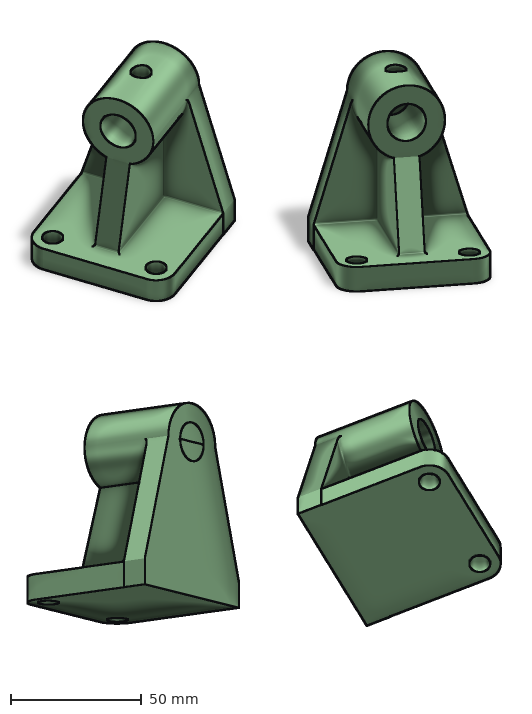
import cadquery as cq
import math

base_width = 60.0
base_depth = 60.0
base_height = 10.0
corner_radius = 8.0
mount_hole_diameter = 8.0
mount_hole_inset = corner_radius

total_height = 75.0
barrel_diameter = 30.0
barrel_radius = barrel_diameter / 2
barrel_length = 40.05
barrel_axis_z = total_height - barrel_radius
bore_diameter = barrel_diameter / 2
oil_hole_diameter = 8.0

wall_width = 60.2
wall_thickness = 10.0
rib_width = 10.0
rib_foot_y = -50.0
fillet_radius = 1.0

plug_length = wall_thickness


def make_base_stock():
    """Base plate at the full width of the wall, with square corners."""
    plate = cq.Workplane("XY").box(wall_width, base_depth, base_height, centered=(True, False, False))
    return plate.translate((0, -base_depth, 0))


def trim_base(body):
    """Narrow the base in front of the wall and round its front corners."""
    side_trim = (wall_width - base_width) / 2
    front_depth = base_depth - wall_thickness
    strip_height = base_height + fillet_radius
    for side in (-1, 1):
        strip = cq.Workplane("XY").box(side_trim, front_depth, strip_height, centered=(True, False, False))
        strip_x = side * (base_width + side_trim) / 2
        body = body.cut(strip.translate((strip_x, -base_depth, 0)))
    return body.edges("|Z and <Y").fillet(corner_radius)


def make_wall(thickness):
    """Upright plate from the underside, tapering from the base to the barrel sides."""
    return (
        cq.Workplane("XZ")
        .moveTo(-wall_width / 2, 0)
        .lineTo(wall_width / 2, 0)
        .lineTo(wall_width / 2, base_height)
        .lineTo(barrel_radius, barrel_axis_z)
        .lineTo(-barrel_radius, barrel_axis_z)
        .lineTo(-wall_width / 2, base_height)
        .close()
        .extrude(thickness)
    )


def make_rib():
    """Rib under the barrel, with a front edge that slopes out to its foot."""
    slope_top_z = barrel_axis_z - math.sqrt(barrel_radius**2 - (rib_width / 2) ** 2)
    return (
        cq.Workplane("YZ")
        .moveTo(0, base_height)
        .lineTo(rib_foot_y, base_height)
        .lineTo(-barrel_length, slope_top_z)
        .lineTo(-barrel_length, barrel_axis_z)
        .lineTo(0, barrel_axis_z)
        .close()
        .extrude(rib_width / 2, both=True)
    )


def make_cylinder_along_y(diameter, length):
    """Cylinder on the barrel axis, running forward from the back face."""
    return cq.Workplane("XZ").center(0, barrel_axis_z).circle(diameter / 2).extrude(length)


def fillet_wall_and_rib(body):
    """Round the inner corners where the wall, the rib and the base meet."""
    tolerance = 0.1
    half_wall = base_width / 2 - tolerance
    base_corners = body.edges(
        cq.selectors.BoxSelector(
            (-half_wall, rib_foot_y - tolerance, base_height - tolerance),
            (half_wall, -wall_thickness + tolerance, base_height + tolerance),
        )
    )
    upright_corners = body.edges(
        cq.selectors.BoxSelector(
            (-rib_width, -wall_thickness - tolerance, base_height + tolerance),
            (rib_width, -wall_thickness + tolerance, barrel_axis_z),
        )
    ).edges("|Z")
    return body.newObject(base_corners.vals() + upright_corners.vals()).fillet(fillet_radius)


def make_barrel_fillet():
    """Concave ring where the barrel leaves the wall, trimmed to the wall outline."""
    outer_radius = barrel_radius + fillet_radius
    wall_front_y = -wall_thickness
    bulge = fillet_radius * (1 - math.sqrt(0.5))
    ring = (
        cq.Workplane("XY")
        .moveTo(0, wall_front_y)
        .lineTo(outer_radius, wall_front_y)
        .threePointArc(
            (barrel_radius + bulge, wall_front_y - bulge),
            (barrel_radius, wall_front_y - fillet_radius),
        )
        .lineTo(0, wall_front_y - fillet_radius)
        .close()
        .revolve(360, (0, 0, 0), (0, 1, 0))
        .translate((0, 0, barrel_axis_z))
    )
    return ring.intersect(make_wall(wall_thickness + fillet_radius))


def cut_mount_holes(body):
    hole_x = base_width / 2 - mount_hole_inset
    hole_y = -base_depth + mount_hole_inset
    holes = (
        cq.Workplane("XY")
        .pushPoints([(-hole_x, hole_y), (hole_x, hole_y)])
        .circle(mount_hole_diameter / 2)
        .extrude(base_height)
    )
    return body.cut(holes)


def cut_oil_hole(body):
    """Drill from the top of the barrel, midway along it, into the bore."""
    hole = (
        cq.Workplane("XY", origin=(0, -barrel_length / 2, barrel_axis_z))
        .circle(oil_hole_diameter / 2)
        .extrude(barrel_radius)
    )
    return body.cut(hole)


def make_bracket():
    body = make_base_stock().union(make_wall(wall_thickness)).union(make_rib())
    body = body.union(make_cylinder_along_y(barrel_diameter, barrel_length))
    body = fillet_wall_and_rib(body)
    body = body.union(make_barrel_fillet())
    body = trim_base(body)
    body = cut_mount_holes(body)
    body = body.cut(make_cylinder_along_y(bore_diameter, barrel_length))
    return cut_oil_hole(body)


def make_half_plug(side):
    """Half of a round plug: side is 1 for the upper half and -1 for the lower half."""
    bore_radius = bore_diameter / 2
    return (
        cq.Workplane("XZ")
        .moveTo(-bore_radius, barrel_axis_z)
        .threePointArc((0, barrel_axis_z + side * bore_radius), (bore_radius, barrel_axis_z))
        .close()
        .extrude(plug_length)
    )


bracket = make_bracket()
half_plugs = [make_half_plug(side).val() for side in (1, -1)]

result = cq.Compound.makeCompound([bracket.val(), *half_plugs])